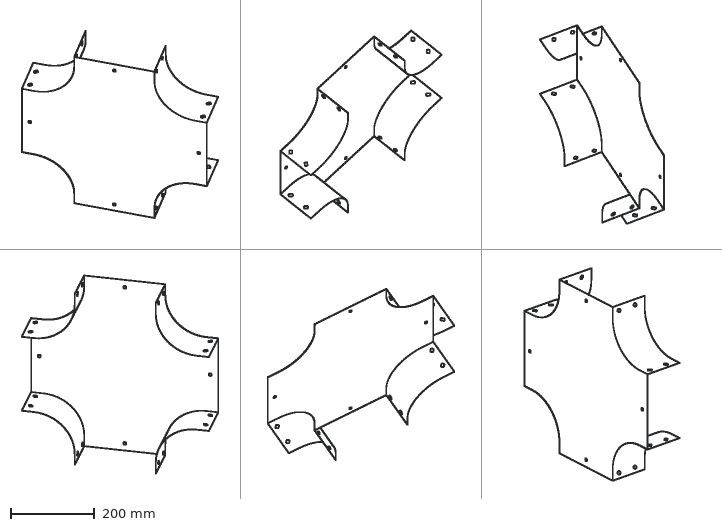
import cadquery as cq
import math

sheet = 0.8
channel_width = 200.0
bend_radius = 100.0
arm_end = 30.0
depth = 100.0

base_hole_diameter = 7.0
base_hole_inset = 20.0
base_hole_drop = sheet / 2
slot_width = 7.0
slot_length = 10.0
slot_slant = 45.0
wall_slot_inset = 15.0
wall_slot_heights = (20.0, 70.0)

half_width = channel_width / 2
half_span = half_width + bend_radius + arm_end
front_y = -depth / 2
corners = [(1, 1), (-1, 1), (-1, -1), (1, -1)]


def corner_cutout(sx, sz, offset):
    """Space outside one corner wall, moved outward by offset, through the full depth."""
    edge = half_width + offset
    radius = bend_radius - offset
    arc_centre = half_width + bend_radius
    arc_middle = arc_centre - radius / math.sqrt(2)
    outside = half_span + arm_end
    return (
        cq.Workplane("XZ", origin=(0, front_y, 0))
        .moveTo(sx * outside, sz * edge)
        .lineTo(sx * arc_centre, sz * edge)
        .threePointArc((sx * arc_middle, sz * arc_middle), (sx * edge, sz * arc_centre))
        .lineTo(sx * edge, sz * outside)
        .lineTo(sx * outside, sz * outside)
        .close()
        .extrude(-depth)
    )


def cross_block(offset, y_start):
    """Solid cross with its corner outlines moved outward by offset, from y_start to the open side."""
    length = depth / 2 - y_start
    block = cq.Workplane("XY").box(2 * half_span, length, 2 * half_span)
    block = block.translate((0, y_start + length / 2, 0))
    for sx, sz in corners:
        block = block.cut(corner_cutout(sx, sz, offset))
    return block


def base_holes():
    """One hole through the base near the end of each arm."""
    side = half_span - base_hole_inset
    top = side + base_hole_drop
    return (
        cq.Workplane("XZ", origin=(0, front_y, -base_hole_drop))
        .pushPoints([(side, 0), (-side, 0), (0, top), (0, -top)])
        .circle(base_hole_diameter / 2)
        .extrude(-sheet)
    )


def wall_slots():
    """Pairs of slanted slots through the straight wall ends.

    Each slot is a bar trimmed by a circle, and the walls facing each of the four
    sides repeat under a quarter turn about Y.
    """
    place = half_span - wall_slot_inset
    points = [(side * place, front_y + height) for side in (1, -1) for height in wall_slot_heights]
    one_side = (
        cq.Workplane("XY", origin=(0, 0, half_width - sheet))
        .sketch()
        .push(points)
        .rect(slot_length, slot_width, angle=slot_slant)
        .circle(slot_length / 2, mode="i")
        .finalize()
        .extrude(sheet)
    )
    slots = one_side
    for quarter in range(1, len(corners)):
        slots = slots.union(one_side.rotate((0, 0, 0), (0, 1, 0), 90 * quarter))
    return slots


shell = cross_block(0, front_y).cut(cross_block(-sheet, front_y + sheet))
result = shell.cut(base_holes()).cut(wall_slots())